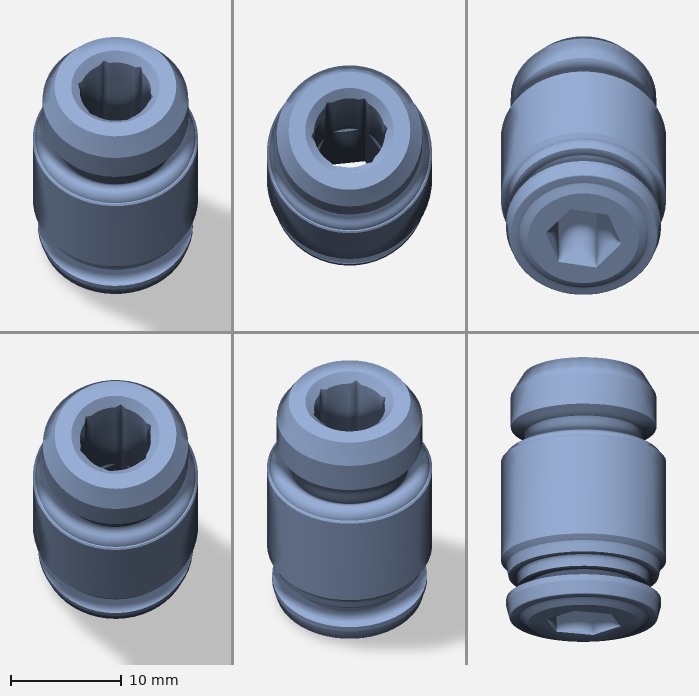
import cadquery as cq
import math

length = 23.5
body_diameter = 14.95

boss_diameter = 10.0
boss_root_diameter = 11.65
boss_height = 0.47
flange_bottom_diameter = 13.45
flange_diameter = 14.0
flange_edge_round = 0.15
flange_taper_top = 1.7
flange_top = 2.23

lower_neck_diameter = boss_diameter
neck_fillet = 0.4
small_step_bottom = 3.4
small_step_bottom_diameter = 11.9
small_step_top_diameter = 12.08
large_step_bottom = 4.5
large_step_bottom_diameter = 13.58
large_step_top = 5.5
large_step_top_diameter = flange_diameter
body_bottom = 5.97

body_top = 15.5
body_chamfer = 0.15
ring_top = 16.29
ring_radius = 1.03
ring_center_diameter = 12.45

upper_neck_diameter = 10.7
head_bottom = 17.98
head_diameter = 13.15
head_straight_bottom = 18.68
head_straight_top = 21.65
head_top_diameter = 11.0

hex_across_flats = 6.0
round_bore_diameter = 6.45
round_bore_depth = 11.75
round_bore_tip_slope = math.radians(30)
countersink_diameter = 8.0
countersink_depth = 0.78


def other_leg(hypotenuse, leg):
    """Remaining leg of a right triangle."""
    return math.sqrt(hypotenuse**2 - leg**2)


def turned_body():
    """Solid of revolution about Z; the half profile runs from the bottom up."""
    ring_center_x = ring_center_diameter / 2
    ring_center_z = ring_top - ring_radius
    ring_outer_x = ring_center_x + other_leg(ring_radius, body_top - ring_center_z)
    ring_inner_z = ring_center_z + other_leg(ring_radius, ring_center_x - upper_neck_diameter / 2)
    edge_center_x = flange_bottom_diameter / 2 - flange_edge_round
    edge_center_z = boss_height + flange_edge_round
    edge_middle = flange_edge_round * math.sqrt(0.5)
    fillet_center_x = lower_neck_diameter / 2 + neck_fillet
    fillet_center_z = flange_top + neck_fillet
    fillet_middle = neck_fillet * math.sqrt(0.5)
    profile = (
        cq.Workplane("XZ")
        .moveTo(0, 0)
        .lineTo(boss_diameter / 2, 0)
        .lineTo(boss_root_diameter / 2, boss_height)
        .lineTo(edge_center_x, boss_height)
        .threePointArc(
            (edge_center_x + edge_middle, edge_center_z - edge_middle),
            (flange_bottom_diameter / 2, edge_center_z),
        )
        .lineTo(flange_diameter / 2, flange_taper_top)
        .lineTo(flange_diameter / 2, flange_top)
        .lineTo(fillet_center_x, flange_top)
        .threePointArc(
            (fillet_center_x - fillet_middle, fillet_center_z - fillet_middle),
            (lower_neck_diameter / 2, fillet_center_z),
        )
        .lineTo(lower_neck_diameter / 2, small_step_bottom)
        .lineTo(small_step_bottom_diameter / 2, small_step_bottom)
        .lineTo(small_step_top_diameter / 2, large_step_bottom)
        .lineTo(large_step_bottom_diameter / 2, large_step_bottom)
        .lineTo(large_step_top_diameter / 2, large_step_top)
        .lineTo(body_diameter / 2, body_bottom)
        .lineTo(body_diameter / 2, body_top - body_chamfer)
        .lineTo(body_diameter / 2 - body_chamfer, body_top)
        .lineTo(ring_outer_x, body_top)
        .threePointArc((ring_center_x, ring_top), (upper_neck_diameter / 2, ring_inner_z))
        .lineTo(upper_neck_diameter / 2, head_bottom)
        .lineTo(head_diameter / 2, head_straight_bottom)
        .lineTo(head_diameter / 2, head_straight_top)
        .lineTo(head_top_diameter / 2, length)
        .lineTo(0, length)
        .close()
    )
    return profile.revolve(360, (0, 0, 0), (0, 1, 0))


def hex_passage():
    """Hexagonal through passage with two corners on the Y axis."""
    across_corners = hex_across_flats / math.cos(math.radians(30))
    return (
        cq.Workplane("XY")
        .polygon(6, across_corners)
        .extrude(length)
        .rotate((0, 0, 0), (0, 0, 1), 30)
    )


def round_bore():
    """Round bore from the top with a conical end, opened out by a countersink."""
    bore_bottom = length - round_bore_depth
    tip_depth = round_bore_diameter / 2 * math.tan(round_bore_tip_slope)
    return (
        cq.Workplane("XZ")
        .moveTo(0, bore_bottom - tip_depth)
        .lineTo(round_bore_diameter / 2, bore_bottom)
        .lineTo(round_bore_diameter / 2, length - countersink_depth)
        .lineTo(countersink_diameter / 2, length)
        .lineTo(0, length)
        .close()
        .revolve(360, (0, 0, 0), (0, 1, 0))
    )


result = turned_body().cut(hex_passage()).cut(round_bore())